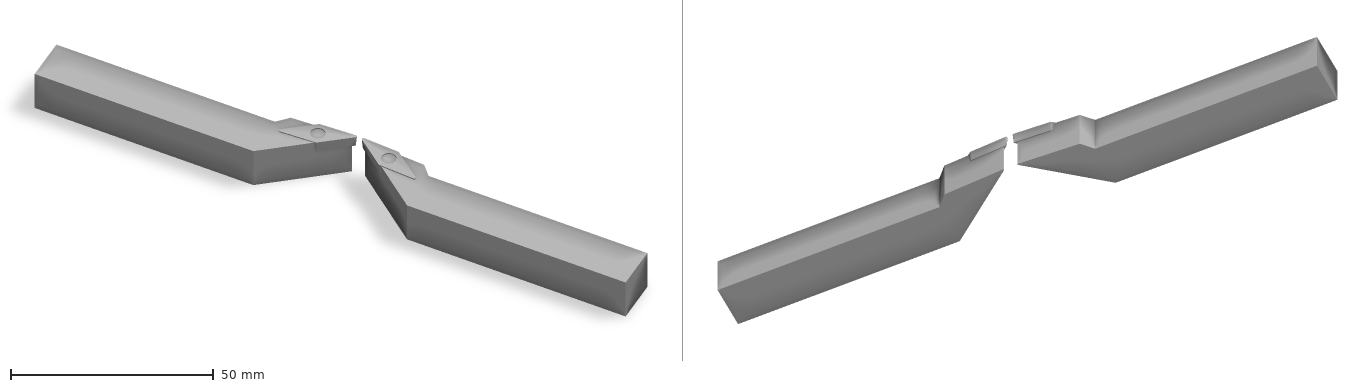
import cadquery as cq
import math

HALF_LENGTH = 81.8
SHANK_WIDTH = 11.8
SHANK_HEIGHT = 11.6

HEAD_START_X = 21.3
SHOULDER_X = 18.5
HEAD_TIP_X = 1.5
HEAD_TIP_Y = 15.7
HEAD_TIP_RADIUS = 0.2
LEAD_ANGLE = 3.0

INSERT_X = 9.8
INSERT_Y = 12.6
INSERT_TOP = 12.0
INSERT_THICKNESS = 3.1
INSCRIBED_DIAMETER = 6.4
NOSE_ANGLE = 35.0
NOSE_RADIUS = 0.4
CLEARANCE_ANGLE = 5.0
RECESS_DIAMETER = 3.8
RECESS_DEPTH = 0.3

INSERT_TURN = LEAD_ANGLE + NOSE_ANGLE / 2


def make_insert_blank():
    """Rhombic insert without its recess, tapering inward towards its seat."""
    half_nose = math.radians(NOSE_ANGLE / 2)
    half_long = INSCRIBED_DIAMETER / 2 / math.sin(half_nose)
    half_short = INSCRIBED_DIAMETER / 2 / math.cos(half_nose)
    rhombus = [(half_long, 0), (0, half_short), (-half_long, 0), (0, -half_short)]
    sketch = cq.Sketch().polygon(rhombus + rhombus[:1]).vertices("<X or >X").fillet(NOSE_RADIUS)
    return (
        cq.Workplane("XY")
        .placeSketch(sketch)
        .extrude(-INSERT_THICKNESS, taper=CLEARANCE_ANGLE)
        .rotate((0, 0, 0), (0, 0, 1), -INSERT_TURN)
        .translate((INSERT_X, INSERT_Y, INSERT_TOP))
    )


def make_insert():
    """Insert with a shallow round recess at its centre."""
    recess = (
        cq.Workplane("XY", origin=(INSERT_X, INSERT_Y, INSERT_TOP))
        .circle(RECESS_DIAMETER / 2)
        .extrude(-RECESS_DEPTH)
    )
    return make_insert_blank().cut(recess)


def make_holder():
    """Square shank with an angled head and a recess that fits the insert."""
    shoulder_y = HEAD_TIP_Y - (SHOULDER_X - HEAD_TIP_X) * math.tan(math.radians(LEAD_ANGLE))
    outline = [
        (HALF_LENGTH, 0),
        (HALF_LENGTH, SHANK_WIDTH),
        (HEAD_START_X, SHANK_WIDTH),
        (SHOULDER_X, shoulder_y),
        (HEAD_TIP_X, HEAD_TIP_Y),
        (HEAD_START_X, 0),
    ]
    body = cq.Workplane("XY").polyline(outline).close().extrude(SHANK_HEIGHT)
    body = body.edges("|Z and <X").fillet(HEAD_TIP_RADIUS)
    return body.cut(make_insert_blank())


bodies = []
for body in (make_holder(), make_insert()):
    bodies.append(body.solids().val())
    bodies.append(body.mirror("YZ").solids().val())

result = cq.Compound.makeCompound(bodies)